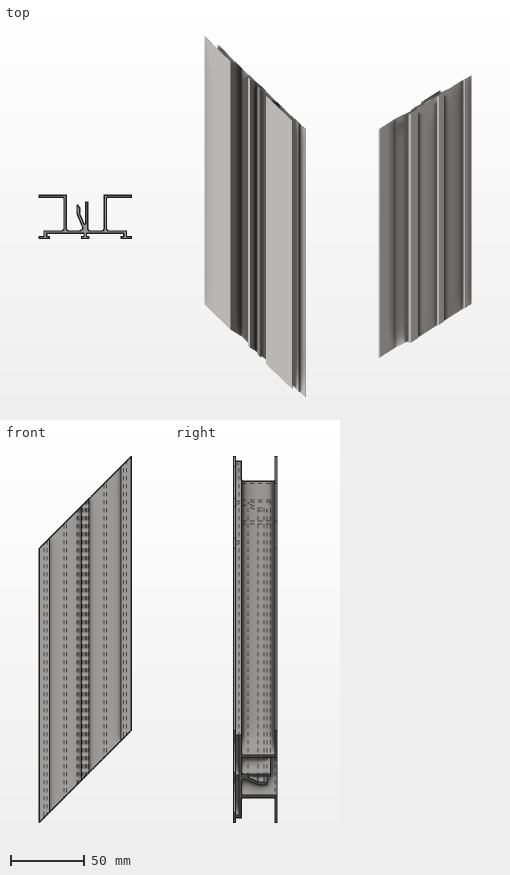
import cadquery as cq
import math

overall_width = 63.0
overall_depth = 29.7
overall_height = 250.0
miter_angle = 45.0

sheet = 1.5
plate_thickness = 1.8
web_thickness = 1.8
stem_thickness = 2.0
hook_thickness = 1.75
hook_head_thickness = 2.0

gap_behind_lips = 2.1
plate_width = 56.4
side_lip_width = 7.0
center_lip_width = 5.4

web_outer_face = 14.6
fin_left_face = 0.3
fin_end_setback = 4.5

hook_outer_face = -5.7
hook_end_setback = 6.8
hook_bend_setback = 12.6
hook_arm_angle = 23.0
hook_tip_flat = 0.7
hook_tip_slant = 2.0

foot_radius = 1.5
flange_corner_radius = 0.8
hook_foot_radius = 2.2
hook_valley_radius = 0.65
hook_bend_radius = 9.0
hook_tip_radius = 0.6

plate_front = sheet + gap_behind_lips
plate_back = plate_front + plate_thickness
flange_front = overall_depth - sheet
half_width = overall_width / 2
half_plate = plate_width / 2

edge_search_reach = 0.1


def bar(x_start, x_end, y_start, y_end):
    """Rectangular full-height bar between two corners of the cross-section."""
    return (
        cq.Workplane("XY", origin=(0, 0, -overall_height / 2))
        .moveTo(x_start, y_start)
        .lineTo(x_end, y_start)
        .lineTo(x_end, y_end)
        .lineTo(x_start, y_end)
        .close()
        .extrude(overall_height)
    )


def fillet_at(body, x, y, radius):
    """Round the Z-parallel edge that passes through (x, y)."""
    reach = edge_search_reach
    low_corner = (x - reach, y - reach, -overall_height)
    high_corner = (x + reach, y + reach, overall_height)
    long_edge = cq.selectors.BoxSelector(low_corner, high_corner)
    return body.edges("|Z").edges(long_edge).fillet(radius)


def make_side(side):
    """Web, flange, stem and lip of one side: -1 is left, +1 is right."""
    web_inner_face = web_outer_face - web_thickness
    web = bar(side * web_inner_face, side * web_outer_face, plate_front, overall_depth)
    flange = bar(side * web_inner_face, side * half_width, flange_front, overall_depth)
    stem = bar(side * (half_plate - stem_thickness), side * half_plate, 0, plate_back)
    lip = bar(side * (half_width - side_lip_width), side * half_width, 0, sheet)
    return web.union(flange).union(stem).union(lip)


arm_slope = math.tan(math.radians(hook_arm_angle))
arm_width = hook_thickness / math.cos(math.radians(hook_arm_angle))
hook_end = overall_depth - hook_end_setback
hook_bend = overall_depth - hook_bend_setback
hook_inner_face = hook_outer_face + hook_head_thickness


def arm_outer_x(y):
    """X of the arm's outer face at level y."""
    return hook_outer_face + (hook_bend - y) * arm_slope


def make_hook():
    """Straight head with a slanted tip on a sloping arm rooted in the plate."""
    inner_bend = hook_bend - (hook_head_thickness - arm_width) / arm_slope
    hook = (
        cq.Workplane("XY", origin=(0, 0, -overall_height / 2))
        .moveTo(hook_outer_face, hook_end)
        .lineTo(hook_outer_face, hook_bend)
        .lineTo(arm_outer_x(plate_front), plate_front)
        .lineTo(arm_outer_x(plate_front) + arm_width, plate_front)
        .lineTo(hook_inner_face, inner_bend)
        .lineTo(hook_inner_face, hook_end - hook_tip_slant)
        .lineTo(hook_outer_face + hook_tip_flat, hook_end)
        .close()
        .extrude(overall_height)
    )
    hook = fillet_at(hook, hook_outer_face, hook_bend, hook_bend_radius)
    return fillet_at(hook, hook_outer_face, hook_end, hook_tip_radius)


def make_center():
    """Fin and hook behind the plate, stem and lip in front of it."""
    fin = bar(fin_left_face, fin_left_face + sheet, plate_front, overall_depth - fin_end_setback)
    stem = bar(-stem_thickness / 2, stem_thickness / 2, 0, plate_back)
    lip = bar(-center_lip_width / 2, center_lip_width / 2, 0, sheet)
    return fin.union(make_hook()).union(stem).union(lip)


def round_inside_corners(body):
    """Fillet the feet of the webs, fin and hook, and the flange corners."""
    for side in (-1, 1):
        outer_x = side * web_outer_face
        inner_x = side * (web_outer_face - web_thickness)
        body = fillet_at(body, outer_x, plate_back, foot_radius)
        body = fillet_at(body, inner_x, plate_back, foot_radius)
        body = fillet_at(body, outer_x, flange_front, flange_corner_radius)
    body = fillet_at(body, fin_left_face + sheet, plate_back, foot_radius)
    body = fillet_at(body, arm_outer_x(plate_back), plate_back, hook_foot_radius)
    valley_y = hook_bend - (fin_left_face - arm_width - hook_outer_face) / arm_slope
    return fillet_at(body, fin_left_face, valley_y, hook_valley_radius)


def make_miter_envelope():
    """Parallelogram block whose ends both rise toward +X at the miter angle."""
    rise = overall_width * math.tan(math.radians(miter_angle))
    bottom = -overall_height / 2
    top = overall_height / 2
    return (
        cq.Workplane("XZ")
        .moveTo(-half_width, bottom)
        .lineTo(half_width, bottom + rise)
        .lineTo(half_width, top)
        .lineTo(-half_width, top - rise)
        .close()
        .extrude(-overall_depth)
    )


plate = bar(-half_plate, half_plate, plate_front, plate_back)
profile = plate.union(make_side(-1)).union(make_side(1)).union(make_center())
profile = round_inside_corners(profile)
result = profile.intersect(make_miter_envelope())